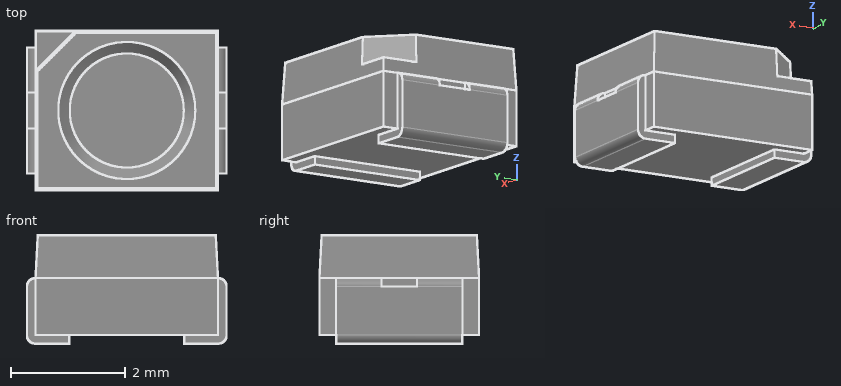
import cadquery as cq
import math

total_length = 3.5
total_height = 1.9
body_width = 2.8

lead_thickness = 0.15
lead_width = 2.212
lead_foot_length = 0.745
lead_notch_width = 0.63

base_length = total_length - 2 * lead_thickness
base_bottom = lead_thickness
base_top = 1.15

draft_angle = 3.0
corner_step_depth = 0.5
corner_step_leg = 0.685
corner_step_floor = total_height - corner_step_depth
cup_top_diameter = 2.4
cup_floor_diameter = 2.0


def make_base():
    """Plain block whose top face is the floor of the cup."""
    return (
        cq.Workplane("XY", origin=(0, 0, base_bottom))
        .rect(base_length, body_width)
        .extrude(base_top - base_bottom)
    )


def make_cup():
    """Cone-shaped opening through the full height of the reflector."""
    return (
        cq.Workplane("XY", origin=(0, 0, base_top))
        .circle(cup_floor_diameter / 2)
        .workplane(offset=total_height - base_top)
        .circle(cup_top_diameter / 2)
        .loft(ruled=True)
    )


def make_reflector():
    """Tapered block, with the (-X, +Y) corner cut off above the step."""
    lower_height = corner_step_floor - base_top
    lower = (
        cq.Workplane("XY", origin=(0, 0, base_top))
        .rect(base_length, body_width)
        .extrude(lower_height, taper=draft_angle)
    )

    draft_inset = lower_height * math.tan(math.radians(draft_angle))
    half_length = base_length / 2 - draft_inset
    half_width = body_width / 2 - draft_inset
    upper = (
        cq.Workplane("XY", origin=(0, 0, corner_step_floor))
        .moveTo(-half_length, -half_width)
        .lineTo(half_length, -half_width)
        .lineTo(half_length, half_width)
        .lineTo(-half_length + corner_step_leg, half_width)
        .lineTo(-half_length, half_width - corner_step_leg)
        .close()
        .extrude(corner_step_depth, taper=draft_angle)
    )
    return lower.union(upper).cut(make_cup()).solids()


def make_lead(side):
    """Lead at the end given by side (-1 or +1), rounded about the base edges."""
    outer_x = side * total_length / 2
    base_x = side * base_length / 2
    foot_x = side * (total_length / 2 - lead_foot_length)
    bend_radius = lead_thickness
    bend_mid = bend_radius * math.sqrt(0.5)
    upper_bend_z = base_top - bend_radius
    strip = (
        cq.Workplane("XZ")
        .moveTo(base_x, base_top)
        .threePointArc((base_x + side * bend_mid, upper_bend_z + bend_mid), (outer_x, upper_bend_z))
        .lineTo(outer_x, base_bottom)
        .threePointArc((base_x + side * bend_mid, base_bottom - bend_mid), (base_x, 0))
        .lineTo(foot_x, 0)
        .lineTo(foot_x, base_bottom)
        .lineTo(base_x, base_bottom)
        .close()
        .extrude(lead_width / 2, both=True)
    )

    notch = cq.Workplane("XY", origin=((base_x + outer_x) / 2, 0, upper_bend_z)).box(
        lead_thickness, lead_notch_width, bend_radius, centered=(True, True, False)
    )
    return strip.cut(notch).solids()


base = make_base()
reflector = make_reflector()
leads = [make_lead(side) for side in (-1, 1)]

result = cq.Compound.makeCompound([base.val(), reflector.val(), *[lead.val() for lead in leads]])